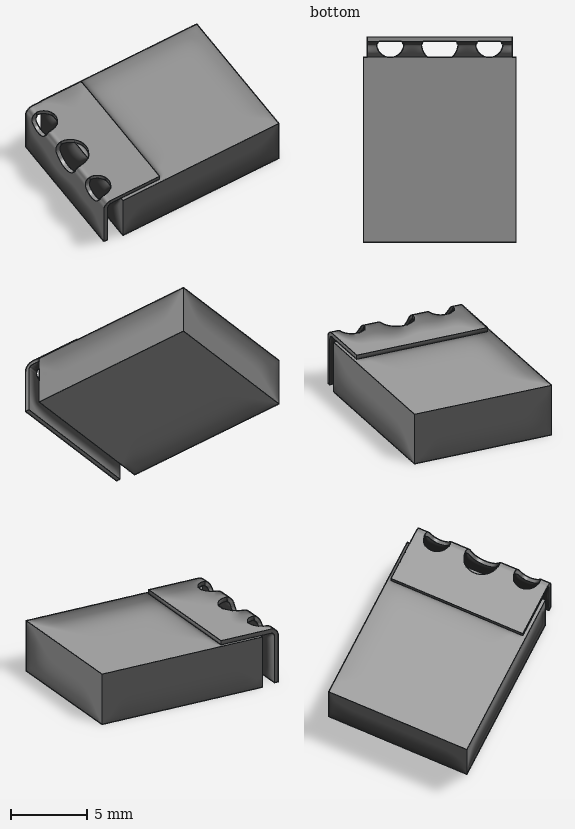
import cadquery as cq

total_length = 13.45
total_height = 3.9

gauge = 0.3
bracket_width = 9.52
bracket_depth = 4.33
bend_inner_radius = 0.3
bend_outer_radius = bend_inner_radius + gauge
bend_bottom = total_height - bend_outer_radius

body_width = 10.0
body_length = 12.12
body_height = total_height - gauge

middle_hole_diameter = 2.38
side_hole_diameter = 1.78
side_hole_offset = 3.24
hole_setback = 0.46


def make_body():
    """Plain block set back behind the front flange."""
    return (
        cq.Workplane("XY")
        .box(body_width, body_length, body_height, centered=(True, False, False))
        .translate((0, total_length - body_length, 0))
    )


def make_bracket():
    """Sheet lying on the body and bent down in front of it."""
    profile = (
        cq.Workplane("YZ")
        .moveTo(0, 0)
        .lineTo(0, bend_bottom)
        .radiusArc((bend_outer_radius, total_height), bend_outer_radius)
        .lineTo(bracket_depth, total_height)
        .lineTo(bracket_depth, body_height)
        .lineTo(bend_outer_radius, body_height)
        .radiusArc((gauge, bend_bottom), -bend_inner_radius)
        .lineTo(gauge, 0)
        .close()
    )
    return profile.extrude(bracket_width / 2, both=True)


def make_hole(x, diameter):
    """Half circle down through the top sheet and bend, joined to a half circle through the front flange."""
    radius = diameter / 2
    top_half = (
        cq.Workplane("XY", origin=(x, hole_setback, bend_bottom))
        .moveTo(-radius, 0)
        .threePointArc((0, radius), (radius, 0))
        .close()
        .extrude(bend_outer_radius)
    )
    front_half = (
        cq.Workplane("XZ", origin=(x, hole_setback, total_height))
        .moveTo(-radius, 0)
        .threePointArc((0, -radius), (radius, 0))
        .close()
        .extrude(hole_setback)
    )
    return top_half.union(front_half)


bracket = make_bracket()
bracket = bracket.cut(make_hole(0, middle_hole_diameter))
for side_x in (-side_hole_offset, side_hole_offset):
    bracket = bracket.cut(make_hole(side_x, side_hole_diameter))

result = make_body().union(bracket)